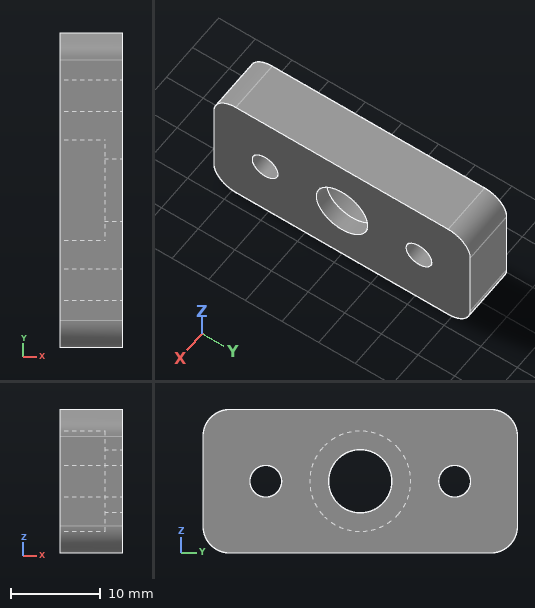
import cadquery as cq

thickness = 7
length = 35
height = 16.0
corner_radius = 3.0

bore_diameter = 7
counterbore_diameter = 11.2
counterbore_depth = 5.0

mount_hole_diameter = 3.5
mount_hole_spacing = 21


def make_plate():
    plate = cq.Workplane("XY").box(thickness, length, height)
    return plate.edges("|X").fillet(corner_radius)


def cut_central_bore(body):
    return body.faces("<X").workplane(centerOption="CenterOfBoundBox").cboreHole(
        bore_diameter, counterbore_diameter, counterbore_depth
    )


def cut_mounting_holes(body):
    half_spacing = mount_hole_spacing / 2
    centers = [(-half_spacing, 0), (half_spacing, 0)]
    face = body.faces("<X").workplane(centerOption="CenterOfBoundBox")
    return face.pushPoints(centers).hole(mount_hole_diameter)


result = cut_mounting_holes(cut_central_bore(make_plate()))